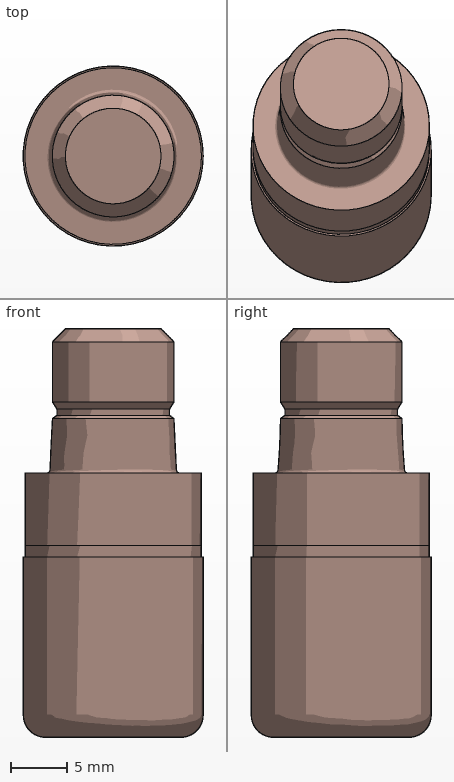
import cadquery as cq

total_height = 36.3

barrel_diameter = 16.0
barrel_radius = barrel_diameter / 2
barrel_top = 16.05
bottom_rounding = 2.0

collar_radius = 7.85
collar_bottom = 17.02
collar_top = 23.5
neck_foot_radius = 5.63
neck_top_radius = 5.4
neck_top = 28.3
foot_fillet = 0.3

groove_radius = 5.0
groove_bottom = 28.6
groove_top = 29.15

head_radius = 5.4
head_bottom = 29.8
head_chamfer = 1.15


def make_barrel():
    """Plain round barrel with a rolled bottom edge and a flush shoulder under the collar."""
    barrel = cq.Workplane("XY").circle(barrel_radius).extrude(barrel_top)
    barrel = barrel.faces("<Z").edges().fillet(bottom_rounding)
    shoulder = (
        cq.Workplane("XY")
        .workplane(offset=barrel_top)
        .circle(collar_radius)
        .extrude(collar_bottom - barrel_top)
    )
    return barrel.union(shoulder)


def make_pin():
    """Collar, tapered neck, groove and chamfered head, turned about the Z axis."""
    foot_top = collar_top + foot_fillet
    return (
        cq.Workplane("XZ")
        .moveTo(0, collar_bottom)
        .lineTo(collar_radius, collar_bottom)
        .lineTo(collar_radius, collar_top)
        .lineTo(neck_foot_radius + foot_fillet, collar_top)
        .radiusArc((neck_foot_radius, foot_top), foot_fillet)
        .lineTo(neck_top_radius, neck_top)
        .lineTo(groove_radius, groove_bottom)
        .lineTo(groove_radius, groove_top)
        .lineTo(head_radius, head_bottom)
        .lineTo(head_radius, total_height - head_chamfer)
        .lineTo(head_radius - head_chamfer, total_height)
        .lineTo(0, total_height)
        .close()
        .revolve(360, (0, 0, 0), (0, 1, 0))
    )


barrel = make_barrel()
pin = make_pin()

result = cq.Compound.makeCompound([barrel.val(), pin.val()])